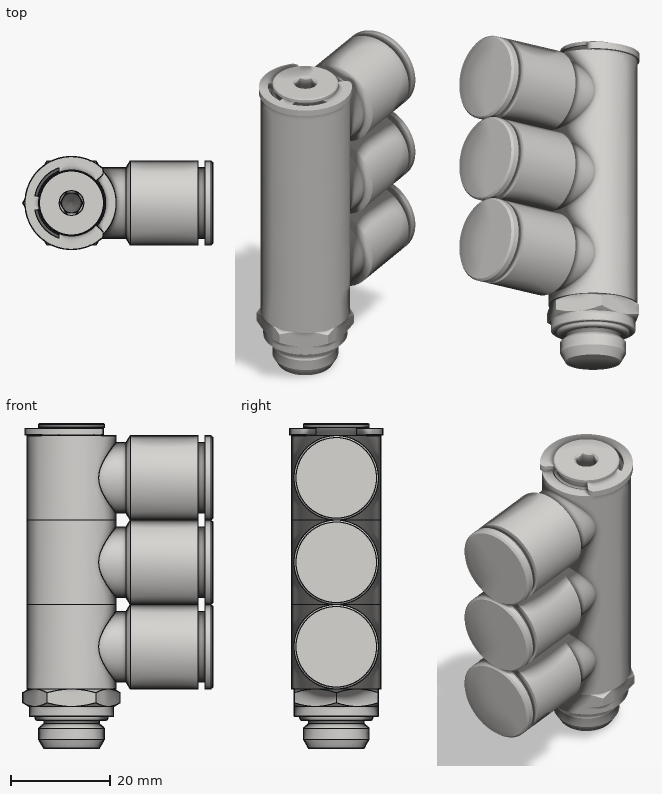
import cadquery as cq
import math

total_height = 65.5
port_count = 3
port_pitch = 17.0

tip_diameter = 11.2
tip_chamfer_height = 1.85
thread_diameter = 13.3
thread_top = 4.05
relief_diameter = 11.2
relief_bottom = 5.0
flange_diameter = 17.0
flange_bottom = 6.4
flange_chamfer = 0.1
hex_bottom = 8.45
hex_across_flats = flange_diameter
hex_bevel_angle = 30.0
shaft_diameter = thread_diameter
cap_height = 0.8
cap_chamfer = 0.2
clip_groove_diameter = 12.1

socket_across_flats = 4.0
socket_mouth_diameter = 5.0
socket_depth = 4.0
socket_cone_depth = 1.2

seal_diameter = 14.75
seal_height = 0.8
seal_corner_radius = 0.6

housing_diameter = 18.0
housing_bottom = 12.0
bore_chamfer_width = 0.25
bore_chamfer_depth = 0.65
port_neck_diameter = 14.3
port_diameter = port_pitch
port_cone_start_x = 11.0
port_cone_end_x = 11.85
port_end_x = 25.55

collar_stem_diameter = port_neck_diameter
collar_diameter = port_diameter
collar_disc_x = 26.9
collar_end_x = 28.5
collar_chamfer = 0.4

clip_diameter = 18.8
clip_thickness = 1.3
clip_gap = 0.1
clip_mouth_half_angle = 42.0
clip_corner_radius = 1.2
clip_slot_diameter = 15.05
clip_slot_end_x = -2.55
clip_slot_end_y = 1.4

hex_top = housing_bottom
housing_top = housing_bottom + port_count * port_pitch
cap_bottom = total_height - cap_height
seal_bottom = flange_bottom - seal_height
clip_bottom = housing_top + clip_gap


def hexagon(across_flats, height, bottom):
    """Hexagonal prism about Z with corners on the X axis."""
    corner_diameter = across_flats / math.cos(math.pi / 6)
    return cq.Workplane("XY").workplane(offset=bottom).polygon(6, corner_diameter).extrude(height)


def revolved_about_z(points):
    """Solid of revolution about Z from (radius, height) points."""
    return cq.Workplane("XZ").polyline(points).close().revolve(360, (0, 0, 0), (0, 1, 0))


def make_bolt_hexagon():
    """Hexagon with both rims turned to a shallow cone that starts at the inscribed circle."""
    height = hex_top - hex_bottom
    flat_radius = hex_across_flats / 2
    blank_radius = hex_across_flats
    bevel_drop = (blank_radius - flat_radius) * math.tan(math.radians(hex_bevel_angle))
    turned_blank = revolved_about_z([
        (0, hex_bottom),
        (flat_radius, hex_bottom),
        (blank_radius, hex_bottom + bevel_drop),
        (blank_radius, hex_top - bevel_drop),
        (flat_radius, hex_top),
        (0, hex_top),
    ])
    return hexagon(hex_across_flats, height, hex_bottom).intersect(turned_blank)


def make_bolt_socket():
    """Hexagon socket with a countersunk mouth and a conical bottom."""
    mouth_radius = socket_mouth_diameter / 2
    cone_radius = socket_across_flats / 2
    socket_bottom = total_height - socket_depth
    mouth_cone = revolved_about_z([
        (0, total_height),
        (mouth_radius, total_height),
        (0, total_height - mouth_radius),
    ])
    drill_cone = revolved_about_z([
        (0, socket_bottom),
        (cone_radius, socket_bottom),
        (0, socket_bottom - socket_cone_depth),
    ])
    return hexagon(socket_across_flats, socket_depth, socket_bottom).union(mouth_cone).union(drill_cone)


def make_bolt():
    """Turned bolt with its hexagon and socket; the clip groove lies under the cap."""
    flange_radius = flange_diameter / 2
    shaft_radius = shaft_diameter / 2
    turned = revolved_about_z([
        (0, 0),
        (tip_diameter / 2, 0),
        (thread_diameter / 2, tip_chamfer_height),
        (thread_diameter / 2, thread_top),
        (relief_diameter / 2, relief_bottom),
        (relief_diameter / 2, flange_bottom),
        (flange_radius - flange_chamfer, flange_bottom),
        (flange_radius, flange_bottom + flange_chamfer),
        (flange_radius, hex_bottom),
        (shaft_radius, hex_bottom),
        (shaft_radius, housing_top),
        (clip_groove_diameter / 2, housing_top),
        (clip_groove_diameter / 2, cap_bottom),
        (shaft_radius, cap_bottom),
        (shaft_radius, total_height - cap_chamfer),
        (shaft_radius - cap_chamfer, total_height),
        (0, total_height),
    ])
    return turned.union(make_bolt_hexagon()).cut(make_bolt_socket())


def make_seal():
    """Ring around the relief neck, rounded at its lower outer edge."""
    plane = cq.Workplane("XY", origin=(0, 0, seal_bottom))
    ring = plane.circle(seal_diameter / 2).extrude(seal_height)
    ring = ring.faces("<Z").edges().fillet(seal_corner_radius)
    return ring.cut(plane.circle(relief_diameter / 2).extrude(seal_height))


def x_cylinder(diameter, start_x, end_x, z):
    """Cylinder along X at height z."""
    return cq.Workplane("YZ", origin=(start_x, 0, z)).circle(diameter / 2).extrude(end_x - start_x)


def make_housing(bottom):
    """Barrel with a port along +X and a countersunk bore for the bolt shaft."""
    port_z = bottom + port_pitch / 2
    barrel = cq.Workplane("XY", origin=(0, 0, bottom)).circle(housing_diameter / 2).extrude(port_pitch)
    port_profile = cq.Workplane("XY", origin=(0, 0, port_z)).polyline([
        (0, 0),
        (0, port_neck_diameter / 2),
        (port_cone_start_x, port_neck_diameter / 2),
        (port_cone_end_x, port_diameter / 2),
        (port_end_x, port_diameter / 2),
        (port_end_x, 0),
    ])
    port = port_profile.close().revolve(360, (0, 0, 0), (1, 0, 0))
    bore = cq.Workplane("XY", origin=(0, 0, bottom)).circle(shaft_diameter / 2).extrude(port_pitch)
    top = bottom + port_pitch
    bore_radius = shaft_diameter / 2
    bore_countersink = revolved_about_z([
        (0, top - bore_chamfer_depth),
        (bore_radius, top - bore_chamfer_depth),
        (bore_radius + bore_chamfer_width, top),
        (0, top),
    ])
    return barrel.union(port).cut(bore).cut(bore_countersink)


def make_collar(port_z):
    """Release collar: a stem on the port end face and a wider disc."""
    stem = x_cylinder(collar_stem_diameter, port_end_x, collar_disc_x, port_z)
    disc = x_cylinder(collar_diameter, collar_disc_x, collar_end_x, port_z)
    return stem.union(disc.faces(">X").chamfer(collar_chamfer))


def make_clip():
    """Flat C-shaped ring with rounded mouth corners and two arc slots along its bore."""
    plane = cq.Workplane("XY", origin=(0, 0, clip_bottom))
    ring = plane.circle(clip_diameter / 2).circle(clip_groove_diameter / 2).extrude(clip_thickness)
    mouth_x = clip_diameter
    mouth_y = mouth_x * math.tan(math.radians(clip_mouth_half_angle))
    mouth = plane.polyline([(0, 0), (mouth_x, -mouth_y), (mouth_x, mouth_y)]).close().extrude(clip_thickness)
    outer_mouth_corners = cq.selectors.BoxSelector(
        (clip_groove_diameter / 2, -clip_diameter, 0),
        (clip_diameter, clip_diameter, total_height),
    )
    clip = ring.cut(mouth).edges("|Z").edges(outer_mouth_corners).fillet(clip_corner_radius)
    slot_radius = clip_slot_diameter / 2
    slot_disc = plane.circle(slot_radius).extrude(clip_thickness)
    for side in (1, -1):
        window = plane.polyline([
            (-slot_radius, side * slot_radius),
            (clip_slot_end_x, side * slot_radius),
            (clip_slot_end_x, side * clip_slot_end_y),
            (-slot_radius, side * clip_slot_end_y),
        ])
        clip = clip.cut(window.close().extrude(clip_thickness).intersect(slot_disc))
    return clip


bolt = make_bolt()
seal = make_seal()
clip = make_clip()
housings = []
collars = []
for index in range(port_count):
    level = housing_bottom + index * port_pitch
    housings.append(make_housing(level).val())
    collars.append(make_collar(level + port_pitch / 2).val())

result = cq.Compound.makeCompound([bolt.val(), seal.val(), clip.val(), *housings, *collars])